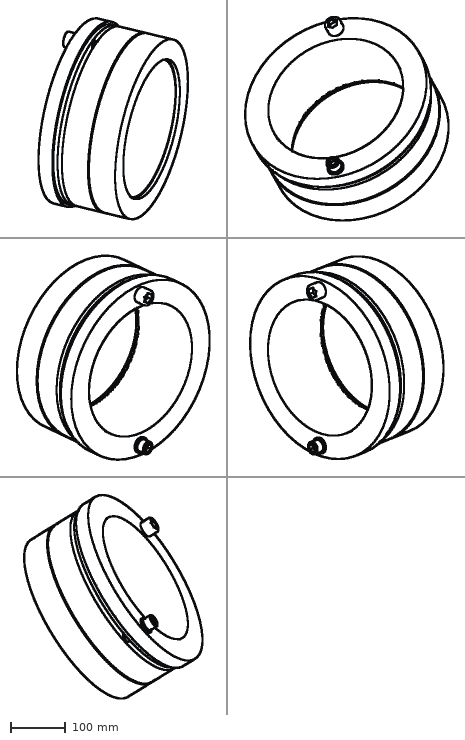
import cadquery as cq
import math

flange_thickness = 27.5
step_end = 36.0
middle_ring_start = 44.8
joint = 98.5
assembly_end = 151.2

flange_diameter = 350
ring_diameter = 340.0
bore_diameter = 260.0

taper_start_diameter = 275.8
taper_angle = 3
sleeve_end = 143.0

joint_groove_width = 1.5
joint_groove_depth = 1.5

screw_radius_from_axis = 154.0
hole_depth_in_ring = 35
large_shank = 20.0
large_head = 30.0
large_head_height = 20.0
large_socket_flats = 17.0
large_head_rounding = 2.0
small_shank = 17.5
small_head = 24.0
small_head_height = 16.0
small_socket_flats = 14.0
small_head_chamfer = 1.0
socket_depth_ratio = 0.5
socket_cone_angle = 120

washer_diameter = large_head
washer_thickness = large_head_height - small_head_height
washer_chamfer = 1.5

large_screw_z = screw_radius_from_axis
small_screw_z = -screw_radius_from_axis
screw_tip = middle_ring_start + hole_depth_in_ring


def cylinder(diameter, start, end, z=0):
    """Solid cylinder along X between two stations."""
    return cq.Workplane("YZ", origin=(start, 0, z)).circle(diameter / 2).extrude(end - start)


def taper_radius(station):
    """Radius of the conical seat at a station."""
    return taper_start_diameter / 2 - (station - step_end) * math.tan(math.radians(taper_angle))


def seat_cone(start, end):
    """Solid slice of the conical seat between two stations."""
    cone = cq.Solid.makeCone(
        taper_radius(start), taper_radius(end), end - start, cq.Vector(start, 0, 0), cq.Vector(1, 0, 0)
    )
    return cq.Workplane(cone)


def make_socket(flats, depth, face, z):
    """Hexagonal socket with a conical bottom, its corners pointing up and down."""
    hexagon = (
        cq.Workplane("YZ", origin=(face, 0, z))
        .transformed(rotate=(0, 0, 90))
        .polygon(6, flats / math.cos(math.pi / 6))
        .extrude(depth)
    )
    cone_height = flats / 2 / math.tan(math.radians(socket_cone_angle / 2))
    cone = cq.Solid.makeCone(flats / 2, 0, cone_height, cq.Vector(face + depth, 0, z), cq.Vector(1, 0, 0))
    return hexagon.union(cq.Workplane(cone))


def make_screw(head, shank, flats, head_height, seat, z):
    """Socket-head screw with plain head edges, its head seated at the given station."""
    face = seat - head_height
    screw = cylinder(head, face, seat, z).union(cylinder(shank, seat, screw_tip, z))
    return screw.cut(make_socket(flats, socket_depth_ratio * head_height, face, z))


def make_large_screw():
    """Large screw with a rounded head edge, seated directly on the flange."""
    screw = make_screw(large_head, large_shank, large_socket_flats, large_head_height, 0, large_screw_z)
    return screw.faces("<X").edges("%CIRCLE").fillet(large_head_rounding)


def make_small_screw():
    """Small screw with a chamfered head edge, seated on the washer."""
    seat = -washer_thickness
    screw = make_screw(small_head, small_shank, small_socket_flats, small_head_height, seat, small_screw_z)
    return screw.faces("<X").edges("%CIRCLE").chamfer(small_head_chamfer)


def make_washer():
    """Chamfered washer that fits closely on the small shank."""
    washer = cylinder(washer_diameter, -washer_thickness, 0, small_screw_z)
    washer = washer.faces("<X").edges().chamfer(washer_chamfer)
    return washer.cut(cylinder(small_shank, -washer_thickness, 0, small_screw_z))


def cut_screw_holes(body):
    """Matching holes for both shanks."""
    body = body.cut(cylinder(large_shank, 0, screw_tip, large_screw_z))
    return body.cut(cylinder(small_shank, 0, screw_tip, small_screw_z))


def make_flange():
    """Flange with a stepped back and a tapered sleeve that carries both rings."""
    flange = cylinder(flange_diameter, 0, flange_thickness)
    flange = flange.union(cylinder(ring_diameter, flange_thickness, step_end))
    flange = flange.union(seat_cone(step_end, sleeve_end))
    return cut_screw_holes(flange.cut(cylinder(bore_diameter, 0, sleeve_end)))


def make_middle_ring():
    """Middle ring with a reduced rim beside the joint."""
    groove_start = joint - joint_groove_width
    ring = cylinder(ring_diameter, middle_ring_start, groove_start)
    ring = ring.union(cylinder(ring_diameter - 2 * joint_groove_depth, groove_start, joint))
    return cut_screw_holes(ring.cut(seat_cone(middle_ring_start, joint)))


def make_end_ring():
    """End ring whose conical bore runs on past the end of the sleeve."""
    return cylinder(ring_diameter, joint, assembly_end).cut(seat_cone(joint, assembly_end))


flange = make_flange()
middle_ring = make_middle_ring()
end_ring = make_end_ring()
large_screw = make_large_screw()
small_screw = make_small_screw()
washer = make_washer()

result = cq.Compound.makeCompound([
    flange.val(),
    middle_ring.val(),
    end_ring.val(),
    large_screw.val(),
    small_screw.val(),
    washer.val(),
])